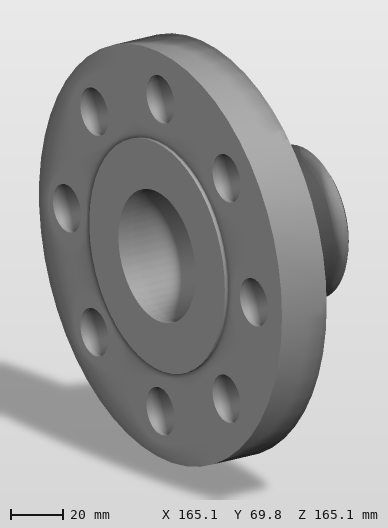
import cadquery as cq
import math

flange_radius = 165.1 / 2
flange_back = 22.3
overall_length = 69.8

raised_face_radius = 92.1 / 2
raised_face_height = 1.6

bore_radius = 52.5 / 2

bolt_count = 8
bolt_circle_radius = 127.0 / 2
bolt_hole_radius = 19.05 / 2

hub_base_radius = 84.0 / 2
neck_radius = 60.3 / 2
neck_length = 7.5
hub_fillet_radius = 6.0

weld_land = 1.6
weld_bevel_angle = math.radians(37.5)

cone_top = overall_length - neck_length
bevel_inner_radius = bore_radius + weld_land
bevel_height = (neck_radius - bevel_inner_radius) * math.tan(weld_bevel_angle)

selection_slack = 0.1


def make_blank():
    """Revolve the solid outer profile (radius, axial position) about Y."""
    profile = [
        (0, 0),
        (raised_face_radius, 0),
        (raised_face_radius, raised_face_height),
        (flange_radius, raised_face_height),
        (flange_radius, flange_back),
        (hub_base_radius, flange_back),
        (neck_radius, cone_top),
        (neck_radius, overall_length - bevel_height),
        (bevel_inner_radius, overall_length),
        (0, overall_length),
    ]
    return cq.Workplane("XY").polyline(profile).close().revolve(360, (0, 0), (0, 1))


def round_circle(body, radius, position):
    """Fillet the circular edge of the given radius at an axial position."""
    corner = radius + selection_slack
    box = cq.selectors.BoxSelector(
        (-corner, position - selection_slack, -corner),
        (corner, position + selection_slack, corner),
        boundingbox=True,
    )
    return body.edges(box).fillet(hub_fillet_radius)


def cut_through(body, radius, centers):
    """Drill holes parallel to the flange axis through the full length."""
    holes = cq.Workplane("XZ").pushPoints(centers).circle(radius).extrude(-overall_length)
    return body.cut(holes)


def bolt_centers():
    """Bolt positions, the first one on the +X axis."""
    angles = [2 * math.pi * i / bolt_count for i in range(bolt_count)]
    return [(bolt_circle_radius * math.cos(a), bolt_circle_radius * math.sin(a)) for a in angles]


body = make_blank()
body = round_circle(body, hub_base_radius, flange_back)
body = round_circle(body, neck_radius, cone_top)
body = cut_through(body, bore_radius, [(0, 0)])
result = cut_through(body, bolt_hole_radius, bolt_centers())